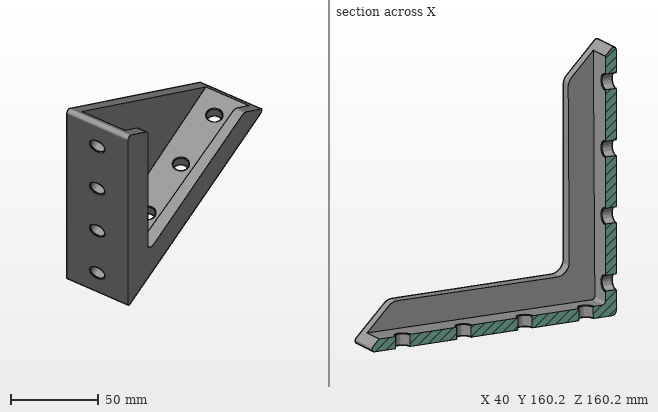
import cadquery as cq
import math

WIDTH = 40.0
LEG = 163.0
TIP_RADIUS = 2.0
HEEL_RADIUS = 3.0

LEG_WALL = 7.5
SIDE_WALL = 6.0
DRAFT_ANGLE = 1.0
POCKET_HEEL_RADIUS = 2.0

WINDOW_OFFSET = 24.0
WINDOW_RADIUS = 8.0

HOLE_DIAMETER = 9.0
HOLE_CHAMFER = 0.5
HOLE_COUNT = 4
HOLE_PITCH = 40.0
FIRST_HOLE = HOLE_PITCH / 2

DRAFT_SLOPE = math.tan(math.radians(DRAFT_ANGLE))
SQRT2 = math.sqrt(2)


def triangle(offset, leg):
    """Right triangle in the YZ plane with its heel at (offset, offset)."""
    return cq.Workplane("YZ").polyline(
        [(offset, offset), (leg - offset, offset), (offset, leg - offset)]
    ).close()


def make_body():
    body = triangle(0, LEG).extrude(WIDTH / 2, both=True)
    heel = cq.selectors.NearestToPointSelector((0, 0, 0))
    tips = "(>Y or >Z) and |X"
    return body.edges(heel).fillet(HEEL_RADIUS).edges(tips).fillet(TIP_RADIUS)


def make_pocket():
    """Triangular prism whose width tapers from the sloping face to the heel."""
    prism = triangle(LEG_WALL, LEG).extrude(WIDTH / 2, both=True)
    heel = cq.selectors.NearestToPointSelector((0, LEG_WALL, LEG_WALL))
    prism = prism.edges(heel).fillet(POCKET_HEEL_RADIUS)

    mouth_half_width = WIDTH / 2 - SIDE_WALL
    depth = LEG / SQRT2
    heel_half_width = mouth_half_width - depth * DRAFT_SLOPE
    wedge_plane = cq.Plane(origin=(0, LEG / 2, LEG / 2), xDir=(1, 0, 0), normal=(0, -1, 1))
    wedge = (
        cq.Workplane(wedge_plane)
        .polyline([
            (-mouth_half_width, 0),
            (mouth_half_width, 0),
            (heel_half_width, -depth),
            (-heel_half_width, -depth),
        ])
        .close()
        .extrude(LEG, both=True)
    )
    return prism.intersect(wedge)


def make_window():
    """Cutter for the +X side wall, open at the sloping face, with rounded corners."""
    corner = WINDOW_OFFSET
    corner_end = corner + WINDOW_RADIUS
    corner_mid = corner + WINDOW_RADIUS * (1 - 1 / SQRT2)

    half_turn = math.pi / 8
    tangent = WINDOW_RADIUS * math.tan(half_turn)
    edge_meets_slope = LEG - corner
    lip_start = edge_meets_slope - tangent
    lip_mid = lip_start + WINDOW_RADIUS * math.sin(half_turn)
    lip_mid_drop = corner - WINDOW_RADIUS * (1 - math.cos(half_turn))
    lip_end = edge_meets_slope + tangent / SQRT2
    lip_end_drop = corner - tangent / SQRT2
    profile = (
        cq.Workplane("YZ")
        .moveTo(corner, corner_end)
        .threePointArc((corner_mid, corner_mid), (corner_end, corner))
        .lineTo(lip_start, corner)
        .threePointArc((lip_mid, lip_mid_drop), (lip_end, lip_end_drop))
        .lineTo(lip_end, lip_end)
        .lineTo(lip_end_drop, lip_end)
        .threePointArc((lip_mid_drop, lip_mid), (corner, lip_start))
        .close()
    )
    return profile.extrude(WIDTH / 2)


def make_hole():
    """Vertical drafted hole cutter through the bottom leg, chamfered at both faces."""
    inner_radius = HOLE_DIAMETER / 2
    bore_length = LEG_WALL - 2 * HOLE_CHAMFER
    outer_radius = inner_radius + bore_length * DRAFT_SLOPE
    return (
        cq.Workplane("XZ")
        .polyline([
            (0, 0),
            (outer_radius + HOLE_CHAMFER, 0),
            (outer_radius, HOLE_CHAMFER),
            (inner_radius, LEG_WALL - HOLE_CHAMFER),
            (inner_radius + HOLE_CHAMFER, LEG_WALL),
            (0, LEG_WALL),
        ])
        .close()
        .revolve(360, (0, 0, 0), (0, 1, 0))
    )


result = make_body().cut(make_pocket()).cut(make_window())

bottom_hole = make_hole()
front_hole = bottom_hole.rotate((0, 0, 0), (1, 0, 0), -90).mirror("XY")
for index in range(HOLE_COUNT):
    position = FIRST_HOLE + index * HOLE_PITCH
    result = result.cut(bottom_hole.translate((0, position, 0)))
    result = result.cut(front_hole.translate((0, 0, position)))